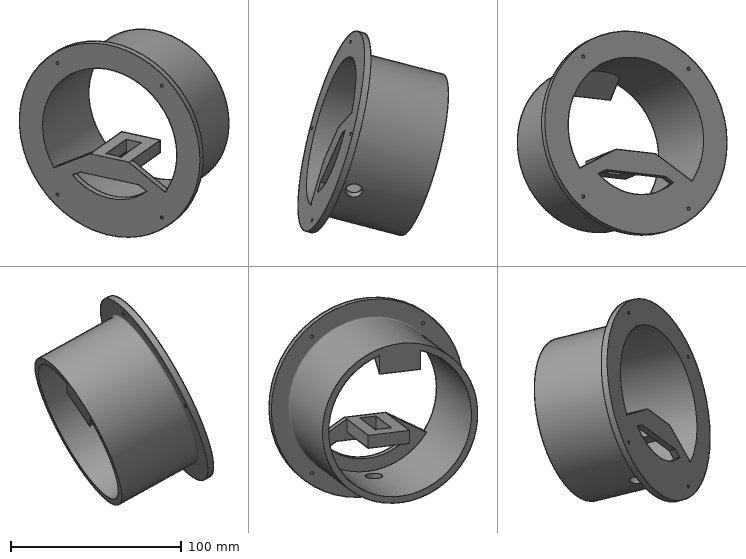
import cadquery as cq
import math

FLANGE_DIAMETER = 121.25
FLANGE_THICKNESS = 4.0
TUBE_OUTER_DIAMETER = 98.0
TUBE_INNER_DIAMETER = 90.0
TOTAL_DEPTH = 56.0
TUBE_ROOT_FILLET = 1.0

SCREW_HOLE_DIAMETER = 1.7
SCREW_SPACING_X = 70.0
SCREW_SPACING_Z = 84.0

PANEL_TOP_Z = -11.3
PANEL_TOP_WIDTH = 26.0
PANEL_SLOPE_DEGREES = 30.0

WINDOW_TOP_DROP = 13.0
WINDOW_SIDE_RIM = 8.0
WINDOW_ARC_RADIUS = 37.0

SHELF_THICKNESS = 8.0
SHELF_BACK_Y = 38.0
SLOT_WIDTH = 10.0
SLOT_FRONT_Y = 4.75
SLOT_BACK_Y = 29.1

DRAIN_DIAMETER = 10.0
DRAIN_CENTER_Y = 14.0

WEDGE_WIDTH = PANEL_TOP_WIDTH
WEDGE_BOTTOM_Z = 31.6

TUBE_OUTER_RADIUS = TUBE_OUTER_DIAMETER / 2
TUBE_INNER_RADIUS = TUBE_INNER_DIAMETER / 2
WALL_MID_RADIUS = (TUBE_OUTER_RADIUS + TUBE_INNER_RADIUS) / 2
PANEL_SLOPE = math.tan(math.radians(PANEL_SLOPE_DEGREES))
WEDGE_LENGTH = TUBE_INNER_RADIUS - WEDGE_BOTTOM_Z


def front_plane(y):
    """Plane at depth y whose local axes are X and Z; negative extrusions run toward +Y."""
    return cq.Workplane("XZ", origin=(0, y, 0))


def disc(diameter, start_y, end_y):
    return front_plane(start_y).circle(diameter / 2).extrude(start_y - end_y)


def box(width, start_y, end_y, bottom_z, top_z):
    """Block centered on X = 0 between the given Y and Z limits."""
    return (
        cq.Workplane("XY", origin=(0, (start_y + end_y) / 2, bottom_z))
        .rect(width, end_y - start_y)
        .extrude(top_z - bottom_z)
    )


def make_flanged_tube():
    flange = disc(FLANGE_DIAMETER, 0, FLANGE_THICKNESS)
    tube = disc(TUBE_OUTER_DIAMETER, FLANGE_THICKNESS, TOTAL_DEPTH)
    reach = TUBE_OUTER_RADIUS + TUBE_ROOT_FILLET
    root_edge = cq.selectors.BoxSelector(
        (-reach, FLANGE_THICKNESS - TUBE_ROOT_FILLET, -reach),
        (reach, FLANGE_THICKNESS + TUBE_ROOT_FILLET, reach),
        boundingbox=True,
    )
    body = flange.union(tube).edges(root_edge).fillet(TUBE_ROOT_FILLET)
    return body.cut(disc(TUBE_INNER_DIAMETER, 0, TOTAL_DEPTH))


def below_roof(top_z, top_half_width):
    """Panel-thick prism under a flat roof with sloping sides, wider than the bore."""
    reach = TUBE_OUTER_RADIUS
    eave_z = top_z - (reach - top_half_width) * PANEL_SLOPE
    return (
        front_plane(0)
        .moveTo(-reach, -reach)
        .lineTo(-reach, eave_z)
        .lineTo(-top_half_width, top_z)
        .lineTo(top_half_width, top_z)
        .lineTo(reach, eave_z)
        .lineTo(reach, -reach)
        .close()
        .extrude(-FLANGE_THICKNESS)
    )


def make_panel():
    outline = below_roof(PANEL_TOP_Z, PANEL_TOP_WIDTH / 2)
    panel = outline.intersect(disc(2 * WALL_MID_RADIUS, 0, FLANGE_THICKNESS))
    side_drop = WINDOW_SIDE_RIM / math.cos(math.radians(PANEL_SLOPE_DEGREES))
    window_half_width = PANEL_TOP_WIDTH / 2 + (WINDOW_TOP_DROP - side_drop) / PANEL_SLOPE
    window = below_roof(PANEL_TOP_Z - WINDOW_TOP_DROP, window_half_width)
    return panel.cut(window.intersect(disc(2 * WINDOW_ARC_RADIUS, 0, FLANGE_THICKNESS)))


def make_shelf():
    bottom_z = PANEL_TOP_Z - SHELF_THICKNESS
    shelf = box(PANEL_TOP_WIDTH, 0, SHELF_BACK_Y, bottom_z, PANEL_TOP_Z)
    return shelf.cut(box(SLOT_WIDTH, SLOT_FRONT_Y, SLOT_BACK_Y, bottom_z, PANEL_TOP_Z))


def make_wedge():
    profile = (
        cq.Workplane("YZ", origin=(-WEDGE_WIDTH / 2, 0, 0))
        .moveTo(TOTAL_DEPTH - WEDGE_LENGTH, TUBE_INNER_RADIUS)
        .lineTo(TOTAL_DEPTH, WEDGE_BOTTOM_Z)
        .lineTo(TOTAL_DEPTH, WALL_MID_RADIUS)
        .lineTo(TOTAL_DEPTH - WEDGE_LENGTH, WALL_MID_RADIUS)
        .close()
        .extrude(WEDGE_WIDTH)
    )
    return profile.intersect(disc(2 * WALL_MID_RADIUS, 0, TOTAL_DEPTH))


def make_screw_holes():
    return (
        front_plane(0)
        .rect(SCREW_SPACING_X, SCREW_SPACING_Z, forConstruction=True)
        .vertices()
        .circle(SCREW_HOLE_DIAMETER / 2)
        .extrude(-FLANGE_THICKNESS)
    )


def make_drain_hole():
    return (
        cq.Workplane("XY", origin=(0, DRAIN_CENTER_Y, -TUBE_OUTER_RADIUS))
        .circle(DRAIN_DIAMETER / 2)
        .extrude(TUBE_OUTER_RADIUS - WINDOW_ARC_RADIUS)
    )


result = (
    make_flanged_tube()
    .union(make_panel())
    .union(make_shelf())
    .union(make_wedge())
    .cut(make_screw_holes())
    .cut(make_drain_hole())
)